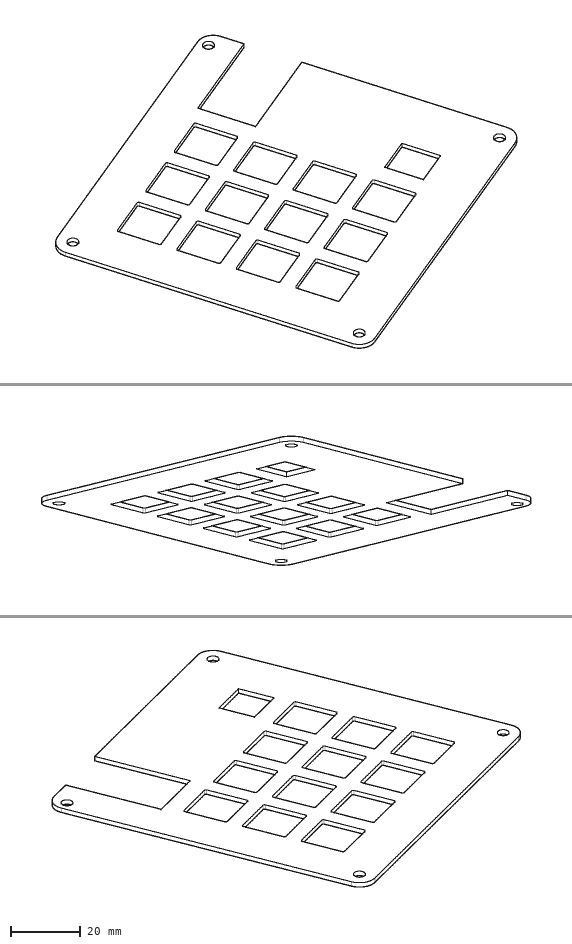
import cadquery as cq

PLATE_WIDTH = 101.79
PLATE_DEPTH = 104.12
PLATE_THICKNESS = 1.5
CORNER_RADIUS = 5.0

HOLE_DIAMETER = 3.4
HOLE_INSET = CORNER_RADIUS
REAR_LEFT_HOLE_INSET_X = 3.5

KEY_PITCH = 19.05
KEY_SIZE = 14.0
KEY_CORNER_RADIUS = 0.5
KEY_COLUMNS = 4
KEY_ROWS = 3
GRID_CENTER_X = -0.92
GRID_CENTER_Y = -11.18

SMALL_OPENING_WIDTH = 12.4
SMALL_OPENING_DEPTH = 11.5
SMALL_OPENING_X = GRID_CENTER_X + (KEY_COLUMNS - 1) / 2 * KEY_PITCH
SMALL_OPENING_Y = GRID_CENTER_Y + (KEY_ROWS + 1) / 2 * KEY_PITCH

NOTCH_WIDTH = 18.5
NOTCH_LENGTH = 31.0
NOTCH_LEFT_INSET = 12.5


def rectangular_cutter(width, depth, x, y):
    """Full-thickness rectangular block centred on (x, y)."""
    block = cq.Workplane("XY").box(width, depth, PLATE_THICKNESS, centered=(True, True, False))
    return block.translate((x, y, 0))


def make_plate():
    plate = rectangular_cutter(PLATE_WIDTH, PLATE_DEPTH, 0, 0)
    return plate.edges("|Z").fillet(CORNER_RADIUS)


def cut_mounting_holes(plate):
    x = PLATE_WIDTH / 2 - HOLE_INSET
    y = PLATE_DEPTH / 2 - HOLE_INSET
    rear_left_x = REAR_LEFT_HOLE_INSET_X - PLATE_WIDTH / 2
    centers = [(-x, -y), (x, -y), (x, y), (rear_left_x, y)]
    holes = cq.Workplane("XY").pushPoints(centers).circle(HOLE_DIAMETER / 2).extrude(PLATE_THICKNESS)
    return plate.cut(holes)


def cut_key_openings(plate):
    key = rectangular_cutter(KEY_SIZE, KEY_SIZE, GRID_CENTER_X, GRID_CENTER_Y)
    key = key.edges("|Z").fillet(KEY_CORNER_RADIUS)
    for column in range(KEY_COLUMNS):
        for row in range(KEY_ROWS):
            offset_x = (column - (KEY_COLUMNS - 1) / 2) * KEY_PITCH
            offset_y = (row - (KEY_ROWS - 1) / 2) * KEY_PITCH
            plate = plate.cut(key.translate((offset_x, offset_y, 0)))
    return plate


def cut_small_opening(plate):
    opening = rectangular_cutter(
        SMALL_OPENING_WIDTH, SMALL_OPENING_DEPTH, SMALL_OPENING_X, SMALL_OPENING_Y
    )
    return plate.cut(opening)


def cut_rear_notch(plate):
    x = -PLATE_WIDTH / 2 + NOTCH_LEFT_INSET + NOTCH_WIDTH / 2
    y = PLATE_DEPTH / 2 - NOTCH_LENGTH / 2
    return plate.cut(rectangular_cutter(NOTCH_WIDTH, NOTCH_LENGTH, x, y))


result = make_plate()
result = cut_mounting_holes(result)
result = cut_key_openings(result)
result = cut_small_opening(result)
result = cut_rear_notch(result)